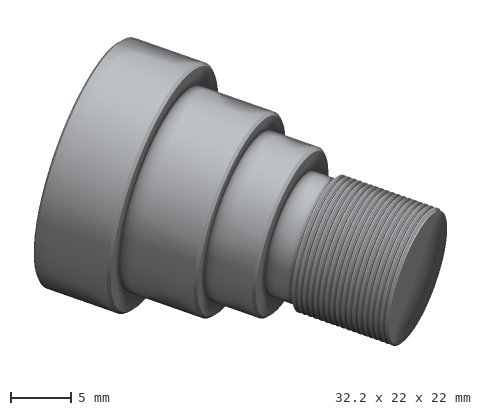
import cadquery as cq
import math


LENS_RISE = 2.2
FLANGE_RADIUS = 11.0
FLANGE_LENGTH = 7.0
BODY_RADIUS = 9.05
BODY_LENGTH = 7.0
COLLAR_RADIUS = 7.5
COLLAR_LENGTH = 4.6
NECK_RADIUS = 5.5
NECK_LENGTH = 2.5
EDGE_CHAMFER = 0.25

RECESS_OUTER_RADIUS = 9.75
RECESS_INNER_RADIUS = 8.5
RECESS_DEPTH = 0.8

THREAD_LENGTH = 8.9
THREAD_RADIUS = 6.0
THREAD_PITCH = 0.5
THREAD_DEPTH = 0.613 * THREAD_PITCH
THREAD_CREST_WIDTH = THREAD_PITCH / 8
THREAD_FLANK_ANGLE = 30.0
THREAD_OVERRUN = 0.65
RIDGE_OVERLAP = 0.02

FLANGE_FRONT = LENS_RISE
BODY_FRONT = FLANGE_FRONT + FLANGE_LENGTH
COLLAR_FRONT = BODY_FRONT + BODY_LENGTH
NECK_FRONT = COLLAR_FRONT + COLLAR_LENGTH
THREAD_FRONT = NECK_FRONT + NECK_LENGTH
THREAD_ROOT_RADIUS = THREAD_RADIUS - THREAD_DEPTH


def cylinder(front, length, radius):
    """Solid cylinder on the X axis, starting at X = front."""
    return cq.Workplane("YZ", origin=(front, 0, 0)).circle(radius).extrude(length)


def make_flange():
    """Front flange with both rims chamfered and the domed glass set in its recess."""
    back = BODY_FRONT
    lens_sag = LENS_RISE + RECESS_DEPTH
    lens_radius = (RECESS_INNER_RADIUS**2 + lens_sag**2) / (2 * lens_sag)
    half_angle = math.asin(RECESS_INNER_RADIUS / lens_radius) / 2
    dome_middle = (lens_radius * (1 - math.cos(half_angle)), lens_radius * math.sin(half_angle))
    profile = (
        cq.Workplane("XY")
        .moveTo(0, 0)
        .threePointArc(dome_middle, (lens_sag, RECESS_INNER_RADIUS))
        .lineTo(FLANGE_FRONT, RECESS_OUTER_RADIUS)
        .lineTo(FLANGE_FRONT, FLANGE_RADIUS - EDGE_CHAMFER)
        .lineTo(FLANGE_FRONT + EDGE_CHAMFER, FLANGE_RADIUS)
        .lineTo(back - EDGE_CHAMFER, FLANGE_RADIUS)
        .lineTo(back, FLANGE_RADIUS - EDGE_CHAMFER)
        .lineTo(back, 0)
        .close()
    )
    return profile.revolve(360, (0, 0, 0), (1, 0, 0))


def make_step(front, length, radius):
    """Barrel step with its rear rim chamfered."""
    return cylinder(front, length, radius).faces(">X").edges().chamfer(EDGE_CHAMFER)


def make_thread():
    """Right-hand helical ridge on a root cylinder, trimmed flat at both ends."""
    rough_front = THREAD_FRONT - THREAD_OVERRUN
    rough_length = THREAD_LENGTH + 2 * THREAD_OVERRUN
    core = cylinder(rough_front - THREAD_PITCH, rough_length + 2 * THREAD_PITCH, THREAD_ROOT_RADIUS)

    base_radius = THREAD_ROOT_RADIUS - RIDGE_OVERLAP
    half_crest = THREAD_CREST_WIDTH / 2
    flank_run = (THREAD_RADIUS - base_radius) * math.tan(math.radians(THREAD_FLANK_ANGLE))
    half_base = half_crest + flank_run
    ridge_section = [
        (base_radius, -half_base),
        (THREAD_RADIUS, -half_crest),
        (THREAD_RADIUS, half_crest),
        (base_radius, half_base),
    ]
    helix = cq.Wire.makeHelix(THREAD_PITCH, rough_length, base_radius)
    ridge = (
        cq.Workplane("XZ")
        .polyline(ridge_section)
        .close()
        .sweep(cq.Workplane(helix), isFrenet=True)
        .rotate((0, 0, 0), (0, 1, 0), 90)
        .translate((rough_front, 0, 0))
    )
    envelope = cylinder(THREAD_FRONT, THREAD_LENGTH, THREAD_RADIUS + THREAD_PITCH)
    return core.union(ridge).intersect(envelope)


body = make_step(BODY_FRONT, BODY_LENGTH, BODY_RADIUS)
collar = make_step(COLLAR_FRONT, COLLAR_LENGTH, COLLAR_RADIUS)
neck = cylinder(NECK_FRONT, NECK_LENGTH, NECK_RADIUS)

result = make_flange().union(body).union(collar).union(neck).union(make_thread())